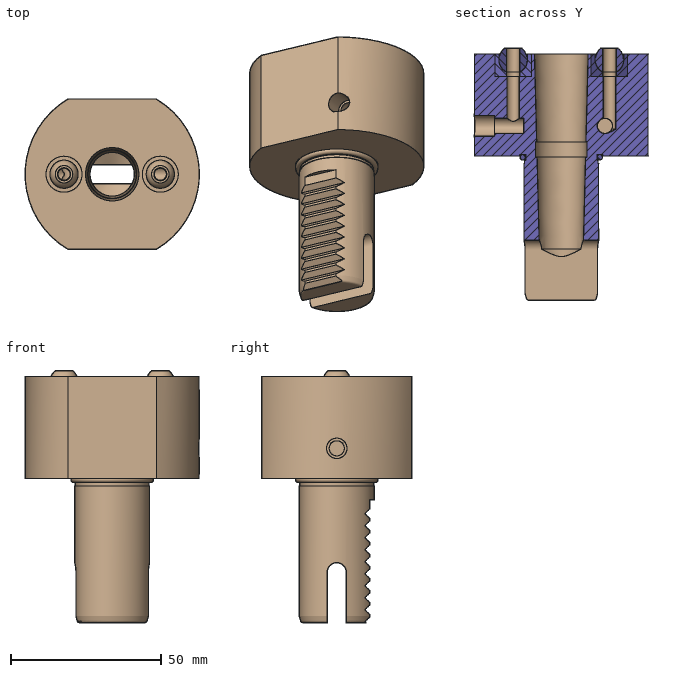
import cadquery as cq
import math


HEAD_DIAMETER = 58.0
HEAD_FLATS_WIDTH = 50.0
HEAD_HEIGHT = 34.0

SHANK_RADIUS = 12.5
SHANK_LENGTH = 47.9
COLLAR_RADIUS = 12.3
COLLAR_BOTTOM = 2.4
LEAD_IN_HEIGHT = 1.5
LEAD_IN_INSET = 0.4
TIP_FILLET = 0.8

SEAL_OUTER_RADIUS = 13.75
SEAL_SECTION_RADIUS = 0.9
SEAL_DEPTH = 0.4
SEAL_CENTRE_RADIUS = SEAL_OUTER_RADIUS - SEAL_SECTION_RADIUS
SEAL_INNER_RADIUS = SEAL_CENTRE_RADIUS - SEAL_SECTION_RADIUS
SEAL_TOP = SEAL_SECTION_RADIUS - SEAL_DEPTH
SEAL_BOTTOM = SEAL_SECTION_RADIUS + SEAL_DEPTH

RACK_FLAT_Y = 11.0
RACK_TOP = 7.0
TOOTH_DEPTH = 1.6
FIRST_GROOVE = 11.65
GROOVE_COUNT = 10
RACK_LENGTH = 35.95
TOOTH_PITCH = RACK_LENGTH / (GROOVE_COUNT - 1)

SLOT_WIDTH = 6.3
SLOT_HEIGHT = 19.95

BORE_TOP_RADIUS = 8.9
BORE_TAPER = 0.025
BORE_DEPTH = 64.95
RELIEF_TOP = 29.3
RELIEF_BOTTOM = 34.35
RELIEF_RADIUS = 8.55

DRILL_POINT_ANGLE = 118
DRILL_POINT_SLOPE = 1 / math.tan(math.radians(DRILL_POINT_ANGLE / 2))

NOZZLE_X = 16.0
SEAT_DIAMETER = 12.0
SEAT_THICKNESS = 7.55
BALL_RADIUS = 4.7
BALL_DEPTH = 1.85
BALL_RISE = 1.85
NOZZLE_HOLE_RADIUS = 2.2

FEED_RADIUS = 2.0
FEED_DEPTH = 26.2
CHANNEL_RADIUS = 2.5
CHANNEL_MOUTH_DIAMETER = 6.8
CHANNEL_MOUTH_DEPTH = 6.7
CHANNEL_Z = 10.05
X_CHANNEL_END = 12.6
Y_CHANNEL_X = -14.5
Y_CHANNEL_END = -3.35


def cylinder(radius, bottom, top, x=0.0):
    """Upright cylinder between two heights."""
    return cq.Workplane("XY", origin=(x, 0, bottom)).circle(radius).extrude(top - bottom)


def pointed_hole(radius, tip, top, x=0.0):
    """Upright blind hole with a drill point at its lower end."""
    shoulder = tip + radius * DRILL_POINT_SLOPE
    outline = [(0, tip), (radius, shoulder), (radius, top), (0, top)]
    return cq.Workplane("XZ").polyline(outline).close().revolve().translate((x, 0, 0))


def make_head():
    flats = cq.Workplane("XY").rect(HEAD_DIAMETER, HEAD_FLATS_WIDTH).extrude(HEAD_HEIGHT)
    return cylinder(HEAD_DIAMETER / 2, 0, HEAD_HEIGHT).intersect(flats)


def make_shank():
    tip_radius = SHANK_RADIUS - LEAD_IN_INSET
    lead_in_angle = math.atan2(LEAD_IN_INSET, LEAD_IN_HEIGHT)
    tip_height = TIP_FILLET * (1 - math.sin(lead_in_angle))
    tip_inset = TIP_FILLET * math.cos(lead_in_angle)
    middle_angle = (lead_in_angle + math.pi / 2) / 2
    arc_centre_x = tip_radius - tip_inset
    arc_centre_z = TIP_FILLET - SHANK_LENGTH
    arc_middle = (
        arc_centre_x + TIP_FILLET * math.cos(middle_angle),
        arc_centre_z - TIP_FILLET * math.sin(middle_angle),
    )
    return (
        cq.Workplane("XZ")
        .moveTo(0, SEAL_TOP)
        .lineTo(SEAL_INNER_RADIUS, SEAL_TOP)
        .lineTo(SEAL_INNER_RADIUS, -SEAL_BOTTOM)
        .lineTo(COLLAR_RADIUS, -SEAL_BOTTOM)
        .lineTo(COLLAR_RADIUS, -COLLAR_BOTTOM)
        .lineTo(SHANK_RADIUS, -COLLAR_BOTTOM)
        .lineTo(SHANK_RADIUS, tip_height + LEAD_IN_HEIGHT - SHANK_LENGTH)
        .lineTo(tip_radius, tip_height - SHANK_LENGTH)
        .threePointArc(arc_middle, (arc_centre_x, -SHANK_LENGTH))
        .lineTo(0, -SHANK_LENGTH)
        .close()
        .revolve()
    )


def make_seal_gland():
    gland = cylinder(SEAL_OUTER_RADIUS, 0, SEAL_TOP)
    return gland.cut(cylinder(SEAL_INNER_RADIUS, 0, SEAL_TOP))


def make_rack_cut():
    """Flat and V grooves as one profile, swept across the shank along X."""
    outer_y = HEAD_DIAMETER / 2
    low_z = -SHANK_LENGTH - TOOTH_PITCH
    points = [(outer_y, -RACK_TOP), (RACK_FLAT_Y, -RACK_TOP)]
    for index in range(GROOVE_COUNT):
        groove_z = -FIRST_GROOVE - index * TOOTH_PITCH
        points.append((RACK_FLAT_Y, groove_z + TOOTH_DEPTH))
        points.append((RACK_FLAT_Y - TOOTH_DEPTH, groove_z))
        points.append((RACK_FLAT_Y, groove_z - TOOTH_DEPTH))
    points.append((RACK_FLAT_Y, low_z))
    points.append((outer_y, low_z))
    return cq.Workplane("YZ").polyline(points).close().extrude(SHANK_RADIUS, both=True)


def make_drive_slot():
    arc_z = SLOT_HEIGHT - SLOT_WIDTH / 2 - SHANK_LENGTH
    return (
        cq.Workplane("YZ")
        .moveTo(-SLOT_WIDTH / 2, -SHANK_LENGTH)
        .lineTo(-SLOT_WIDTH / 2, arc_z)
        .threePointArc((0, arc_z + SLOT_WIDTH / 2), (SLOT_WIDTH / 2, arc_z))
        .lineTo(SLOT_WIDTH / 2, -SHANK_LENGTH)
        .close()
        .extrude(SHANK_RADIUS, both=True)
    )


def make_tapered_bore():
    """Tapered bore with a cylindrical relief part way down and a conical floor."""
    floor_radius = BORE_TOP_RADIUS - BORE_TAPER * BORE_DEPTH
    floor_z = HEAD_HEIGHT - BORE_DEPTH
    outline = [
        (0, HEAD_HEIGHT),
        (BORE_TOP_RADIUS, HEAD_HEIGHT),
        (floor_radius, floor_z),
        (0, floor_z - floor_radius * DRILL_POINT_SLOPE),
    ]
    bore = cq.Workplane("XZ").polyline(outline).close().revolve()
    relief = cylinder(RELIEF_RADIUS, HEAD_HEIGHT - RELIEF_BOTTOM, HEAD_HEIGHT - RELIEF_TOP)
    return bore.union(relief)


def make_channel(length):
    """Coolant drilling along +X that ends in a wider mouth, starting at the origin."""
    mouth_start = length - CHANNEL_MOUTH_DEPTH
    bore = cq.Workplane("YZ").circle(CHANNEL_RADIUS).extrude(length)
    mouth = cq.Workplane("YZ", origin=(mouth_start, 0, 0)).circle(CHANNEL_MOUTH_DIAMETER / 2)
    return bore.union(mouth.extrude(CHANNEL_MOUTH_DEPTH))


def make_cross_channels():
    """Horizontal coolant drillings, one from the +X side and one from the +Y flat."""
    x_channel = make_channel(HEAD_DIAMETER / 2 - X_CHANNEL_END)
    y_channel = make_channel(HEAD_FLATS_WIDTH / 2 - Y_CHANNEL_END)
    y_channel = y_channel.rotate((0, 0, 0), (0, 0, 1), 90)
    return [
        x_channel.translate((X_CHANNEL_END, 0, CHANNEL_Z)),
        y_channel.translate((Y_CHANNEL_X, Y_CHANNEL_END, CHANNEL_Z)),
    ]


def make_holder():
    holder = make_head().cut(make_seal_gland()).union(make_shank())
    holder = holder.cut(make_rack_cut()).cut(make_drive_slot()).cut(make_tapered_bore())
    for channel in make_cross_channels():
        holder = holder.cut(channel)
    for x in (-NOZZLE_X, NOZZLE_X):
        holder = holder.cut(pointed_hole(FEED_RADIUS, HEAD_HEIGHT - FEED_DEPTH, HEAD_HEIGHT, x))
        holder = holder.cut(cylinder(SEAT_DIAMETER / 2, HEAD_HEIGHT - SEAT_THICKNESS, HEAD_HEIGHT, x))
    return holder


def make_seal_ring():
    return (
        cq.Workplane("XZ")
        .center(SEAL_CENTRE_RADIUS, -SEAL_DEPTH)
        .circle(SEAL_SECTION_RADIUS)
        .revolve(360, (-SEAL_CENTRE_RADIUS, 0), (-SEAL_CENTRE_RADIUS, 1))
    )


def make_seat(x):
    """Flush bushing with a spherical socket that opens straight up from the ball's equator."""
    bottom = HEAD_HEIGHT - SEAT_THICKNESS
    ball_z = HEAD_HEIGHT - BALL_DEPTH
    socket = cq.Workplane("XY").sphere(BALL_RADIUS).translate((x, 0, ball_z))
    return (
        cylinder(SEAT_DIAMETER / 2, bottom, HEAD_HEIGHT, x)
        .cut(socket)
        .cut(cylinder(BALL_RADIUS, ball_z, HEAD_HEIGHT, x))
        .cut(cylinder(NOZZLE_HOLE_RADIUS, bottom, ball_z, x))
    )


def make_ball(x):
    """Drilled ball with a flat on top."""
    ball_z = HEAD_HEIGHT - BALL_DEPTH
    below_flat = cylinder(BALL_RADIUS, ball_z - BALL_RADIUS, HEAD_HEIGHT + BALL_RISE, x)
    return (
        cq.Workplane("XY")
        .sphere(BALL_RADIUS)
        .translate((x, 0, ball_z))
        .intersect(below_flat)
        .cut(cylinder(NOZZLE_HOLE_RADIUS, ball_z - BALL_RADIUS, HEAD_HEIGHT + BALL_RISE, x))
    )


holder = make_holder()
seal_ring = make_seal_ring()
seats = [make_seat(x) for x in (-NOZZLE_X, NOZZLE_X)]
balls = [make_ball(x) for x in (-NOZZLE_X, NOZZLE_X)]

result = cq.Compound.makeCompound(
    [holder.val(), seal_ring.val()]
    + [seat.val() for seat in seats]
    + [ball.val() for ball in balls]
)